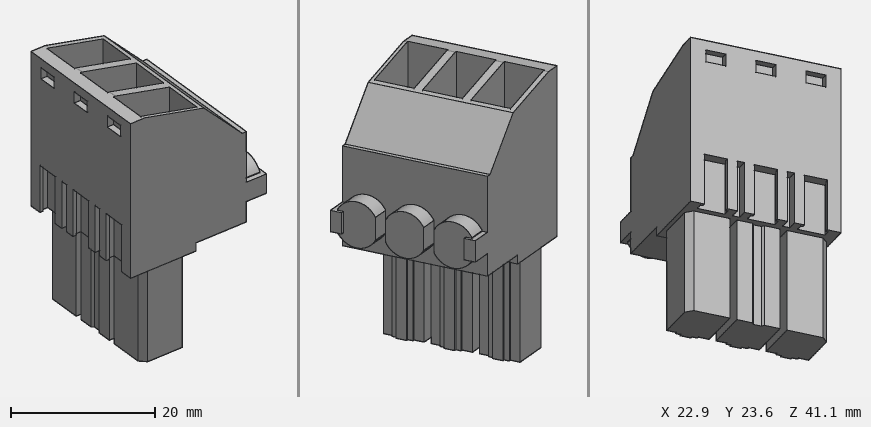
import cadquery as cq
import math


POLES = 3
PITCH = 7.6
POLE_XS = [(i - (POLES - 1) / 2) * PITCH for i in range(POLES)]
GAP_XS = [(i - (POLES - 2) / 2) * PITCH for i in range(POLES - 1)]

WIDTH = 22.88
TOP_Z = 41.15
BOTTOM_Z = 15.55
BACK_Y = 20.12
CREST_Y = 2.5
BEND_Y = 12.7
BEND_Z = 38.72
SHOULDER_Y = 19.4
SHOULDER_Z = 31.9
STEP_Y = 11.4
STEP_Z = 16.9

POCKET_WIDTH = 6.3
POCKET_OFFSET_X = 0.12
POCKET_FRONT_Y = 2.22
POCKET_BACK_Y = 11.95
POCKET_FLOOR_Z = SHOULDER_Z

WINDOW_WIDTH = 3.0
WINDOW_BOTTOM_Z = 37.8
WINDOW_TOP_Z = 39.65
WINDOW_DEPTH = 1.05

SLOT_TOP_Z = 23.35
SLOT_MOUTH_WIDTH = 3.5
SLOT_LIP = 0.58
SLOT_UNDERCUT = 0.33
SLOT_DEPTH = 1.6
RELIEF_WIDTH = 1.05

TOWER_FRONT_Y = 2.5
TOWER_BACK_Y = 9.5
TOWER_WIDTH = PITCH - RELIEF_WIDTH
END_TOWER_OUTER_X = 10.8
TOWER_CHAMFER = 0.95
GROOVE_MOUTH_WIDTH = 1.8
GROOVE_FLOOR_WIDTH = 1.2
GROOVE_DEPTH = 0.35

RIB_TIER_HEIGHT = 0.33
RIB_WIDTHS = (3.3, 1.65)

TAB_WIDTH = 1.75
TAB_BACK_Y = 23.6
TAB_BOTTOM_Z = 20.3
TAB_TOP_Z = 23.5

SCREW_RADIUS = 3.45
SCREW_FLAT_WIDTH = 6.0
SCREW_END_Y = 23.1
SCREW_Z = (TAB_BOTTOM_Z + TAB_TOP_Z) / 2


def block(x_range, y_range, z_range):
    """Box filling the given ranges along X, Y and Z."""
    size = [high - low for low, high in (x_range, y_range, z_range)]
    corner = cq.Vector(x_range[0], y_range[0], z_range[0])
    return cq.Workplane(cq.Solid.makeBox(*size, corner))


def centred(x, width):
    """X range of the given width about x."""
    return (x - width / 2, x + width / 2)


def housing_shell():
    """Side outline extruded over the full width."""
    outline = [
        (0, BOTTOM_Z),
        (0, TOP_Z),
        (CREST_Y, TOP_Z),
        (BEND_Y, BEND_Z),
        (SHOULDER_Y, SHOULDER_Z),
        (BACK_Y, SHOULDER_Z),
        (BACK_Y, STEP_Z),
        (STEP_Y, STEP_Z),
        (STEP_Y, BOTTOM_Z),
    ]
    return cq.Workplane("YZ").polyline(outline).close().extrude(WIDTH / 2, both=True)


def end_tab(side):
    """Tab at one end of the back face; side is -1 or +1."""
    outer = side * WIDTH / 2
    inner = outer - side * TAB_WIDTH
    return block(sorted((outer, inner)), (BACK_Y, TAB_BACK_Y), (TAB_BOTTOM_Z, TAB_TOP_Z))


def pocket(x):
    return block(
        centred(x + POCKET_OFFSET_X, POCKET_WIDTH),
        (POCKET_FRONT_Y, POCKET_BACK_Y),
        (POCKET_FLOOR_Z, TOP_Z),
    )


def window(x):
    return block(centred(x, WINDOW_WIDTH), (0, WINDOW_DEPTH), (WINDOW_BOTTOM_Z, WINDOW_TOP_Z))


def coding_slot(x):
    """Slot with a narrow mouth and a wider channel behind it."""
    z_range = (BOTTOM_Z, SLOT_TOP_Z)
    mouth = block(centred(x, SLOT_MOUTH_WIDTH), (0, SLOT_DEPTH), z_range)
    channel_width = SLOT_MOUTH_WIDTH + 2 * SLOT_UNDERCUT
    return mouth.union(block(centred(x, channel_width), (SLOT_LIP, SLOT_DEPTH), z_range))


def relief_slot(x):
    return block(centred(x, RELIEF_WIDTH), (0, SLOT_DEPTH), (BOTTOM_Z, SLOT_TOP_Z))


def back_rib(x):
    """Stepped rib on the back of a tower; each tier is narrower than the one before."""
    rib = cq.Workplane()
    for tier, width in enumerate(RIB_WIDTHS, start=1):
        y_range = (TOWER_BACK_Y, TOWER_BACK_Y + tier * RIB_TIER_HEIGHT)
        rib = rib.add(block(centred(x, width), y_range, (0, BOTTOM_Z)))
    return rib.combine()


def middle_tower(x):
    """Tower with a tapered keying groove down its front."""
    tower = block(centred(x, TOWER_WIDTH), (TOWER_FRONT_Y, TOWER_BACK_Y), (0, BOTTOM_Z))
    groove_outline = [
        (x - GROOVE_MOUTH_WIDTH / 2, TOWER_FRONT_Y),
        (x - GROOVE_FLOOR_WIDTH / 2, TOWER_FRONT_Y + GROOVE_DEPTH),
        (x + GROOVE_FLOOR_WIDTH / 2, TOWER_FRONT_Y + GROOVE_DEPTH),
        (x + GROOVE_MOUTH_WIDTH / 2, TOWER_FRONT_Y),
    ]
    groove = cq.Workplane("XY").polyline(groove_outline).close().extrude(BOTTOM_Z)
    return tower.cut(groove)


def end_tower(x):
    """Tower at one end of the row, chamfered on its outer front corner."""
    side = math.copysign(1, x)
    inner = x - side * TOWER_WIDTH / 2
    outer = side * END_TOWER_OUTER_X
    outline = [
        (inner, TOWER_FRONT_Y),
        (outer - side * TOWER_CHAMFER, TOWER_FRONT_Y),
        (outer, TOWER_FRONT_Y + TOWER_CHAMFER),
        (outer, TOWER_BACK_Y),
        (inner, TOWER_BACK_Y),
    ]
    return cq.Workplane("XY").polyline(outline).close().extrude(BOTTOM_Z)


def make_screw(x):
    """Round head with two side flats, standing on the back face of the housing."""
    length = SCREW_END_Y - BACK_Y
    axis_start = cq.Vector(x, BACK_Y, SCREW_Z)
    head = cq.Solid.makeCylinder(SCREW_RADIUS, length, axis_start, cq.Vector(0, 1, 0))
    between_flats = block(
        centred(x, SCREW_FLAT_WIDTH),
        (BACK_Y, SCREW_END_Y),
        (SCREW_Z - SCREW_RADIUS, SCREW_Z + SCREW_RADIUS),
    )
    return cq.Workplane(head).intersect(between_flats)


def make_housing(screws):
    """Moulded housing with towers and tabs; the tabs are recessed around the screw heads."""
    housing = housing_shell()
    for side in (-1, 1):
        housing = housing.union(end_tab(side))
    for x in POLE_XS:
        housing = housing.union(end_tower(x) if x else middle_tower(x))
        housing = housing.union(back_rib(x))
        housing = housing.cut(pocket(x)).cut(window(x)).cut(coding_slot(x))
    for x in GAP_XS:
        housing = housing.cut(relief_slot(x))
    for screw in screws:
        housing = housing.cut(screw)
    return housing


screws = [make_screw(x) for x in POLE_XS]
housing = make_housing(screws)

result = cq.Compound.makeCompound([housing.val(), *[screw.val() for screw in screws]])